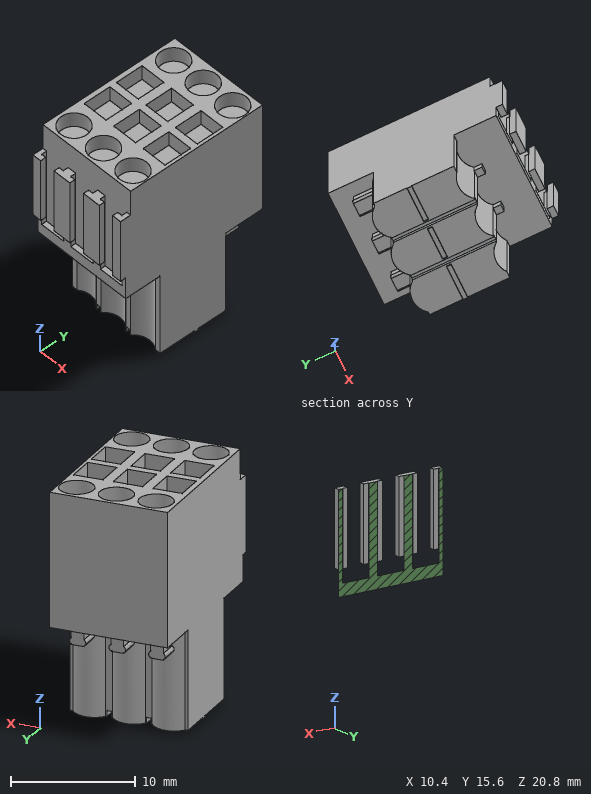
import cadquery as cq

width = 10.4
depth = 15.6
height = 20.8
columns = 3
pitch = 3.5

housing_bottom = 8.96
housing_front = 1.1
lip_front = 0.56
slot_floor = 10.13
rib_bottom = 11.3
rib_top = 18.1
rib_width = 1.87
neck_width = 0.9

opening_offset = 0.1
round_diameter = 2.91
round_rows = (2.85, 13.8)
square_width = 2.58
square_length = 2.8
square_rows = (6.57, 10.1)
opening_depth = 1.54

plug_bottom = 0.17
plug_end_front = 4.35
plug_front = 4.04
plug_back = 11.55
plug_end_length = 1.75
scallop_radius = 1.83
scallop_axis = 2.91
bump_radius = scallop_radius
bump_rear = 12.25
notch_width = 0.4
notch_top = 0.7

tab_front = 3.35
tab_bottom = 7.97
tab_width = 0.62
latch_rear = 13.87
latch_width = 1.12
latch_bottom = 7.03
bead_radius = 0.31
bead_overhang = 0.17
ridge_gap = 0.7
ridge_thickness = 0.42
ridge_centre = 8.32

column_x = [width / 2 + pitch * (i - (columns - 1) / 2) for i in range(columns)]
divider_x = [(a + b) / 2 for a, b in zip(column_x, column_x[1:])]
boundary_x = [0] + divider_x + [width]


def block(x0, x1, y0, y1, z0, z1):
    """Axis-aligned box between opposite corners."""
    return cq.Workplane("XY").box(x1 - x0, y1 - y0, z1 - z0, centered=False).translate((x0, y0, z0))


def centred_block(x, size, y0, y1, z0, z1):
    """Box centred on x, trimmed to the width of the part."""
    return block(max(0, x - size / 2), min(width, x + size / 2), y0, y1, z0, z1)


def post(x, y, radius, z0, z1):
    """Upright cylinder."""
    return cq.Workplane("XY", origin=(x, y, z0)).circle(radius).extrude(z1 - z0)


def make_housing():
    """Upper housing with the slotted lip and the T-shaped ribs on its front."""
    body = block(0, width, housing_front, depth, housing_bottom, height)
    body = body.union(block(0, width, lip_front, housing_front, housing_bottom, slot_floor))
    for x in boundary_x:
        body = body.union(centred_block(x, neck_width, lip_front, housing_front, slot_floor, rib_top))
        body = body.union(centred_block(x, rib_width, 0, lip_front, rib_bottom, rib_top))
    return body


def cut_openings(body):
    """Two rows of round and two rows of square blind openings in the top face."""
    floor = height - opening_depth
    for column in column_x:
        x = column + opening_offset
        for y in round_rows:
            body = body.cut(post(x, y, round_diameter / 2, floor, height))
        for y in square_rows:
            half = square_length / 2
            body = body.cut(centred_block(x, square_width, y - half, y + half, floor, height))
    return body


def make_plug():
    """Lower plug, scalloped in front and bumped at the back."""
    plug = block(0, width, plug_end_front, plug_back, plug_bottom, housing_bottom)
    middle_width = width - 2 * plug_end_length
    plug = plug.union(
        centred_block(width / 2, middle_width, plug_front, plug_end_front, plug_bottom, housing_bottom)
    )
    bump_space = block(0, width, plug_back, bump_rear, plug_bottom, housing_bottom)
    for x in column_x:
        plug = plug.cut(post(x, scallop_axis, scallop_radius, plug_bottom, housing_bottom))
        bump = post(x, bump_rear - bump_radius, bump_radius, plug_bottom, housing_bottom)
        plug = plug.union(bump.intersect(bump_space))
    for x in divider_x:
        plug = plug.cut(centred_block(x, notch_width, 0, depth, 0, notch_top))
    return plug


def make_tabs():
    """Short tabs in front of the strips between the scallops."""
    tabs = cq.Workplane("XY")
    for x in divider_x:
        tabs = tabs.union(centred_block(x, tab_width, tab_front, plug_end_front, tab_bottom, housing_bottom))
    return tabs


def make_latch(column):
    """Plate behind a bump with a round bead along each lower edge."""
    bead_z = latch_bottom + bead_radius
    latch = centred_block(column, latch_width, plug_back, latch_rear, latch_bottom, housing_bottom)
    bead_offset = latch_width / 2 + bead_overhang - bead_radius
    for x in (column - bead_offset, column + bead_offset):
        bead = (
            cq.Workplane("XZ", origin=(x, latch_rear, bead_z))
            .circle(bead_radius)
            .extrude(latch_rear - plug_back)
        )
        latch = latch.union(bead)
    return latch


def make_ridge():
    """Low ridge across the plug bottom, interrupted around the notches."""
    half = ridge_thickness / 2
    ridge = block(0, width, ridge_centre - half, ridge_centre + half, 0, plug_bottom)
    for x in divider_x:
        ridge = ridge.cut(centred_block(x, ridge_gap, 0, depth, 0, housing_bottom))
    return ridge


result = cut_openings(make_housing()).union(make_plug()).union(make_tabs()).union(make_ridge())
for column in column_x:
    result = result.union(make_latch(column))